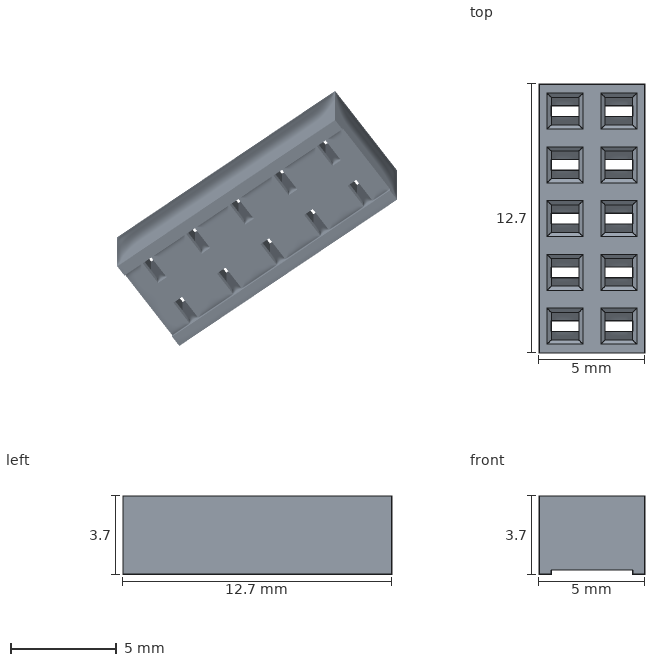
import cadquery as cq

pitch = 2.54
columns = 2
rows = 5
body_width = 5.0
body_length = rows * pitch
total_height = 3.7

cavity_side = 1.3
mouth_flare = 0.2
mouth_side = cavity_side + 2 * mouth_flare
slot_width = 0.5

standoff_height = 0.2
channel_width = (columns - 1) * pitch + cavity_side

floor_thickness = 0.5
floor_height = standoff_height + floor_thickness


def make_body():
    return cq.Workplane("XY").box(
        body_width, body_length, total_height, centered=(True, True, False)
    )


def make_channel():
    return cq.Workplane("XY").box(
        channel_width, body_length, standoff_height, centered=(True, True, False)
    )


def make_cavity():
    """One cavity on the Z axis: slot, square well and flared mouth."""
    slot = cq.Workplane("XY").box(
        cavity_side, slot_width, total_height, centered=(True, True, False)
    )
    well = (
        cq.Workplane("XY")
        .workplane(offset=floor_height)
        .rect(cavity_side, cavity_side)
        .extrude(total_height - floor_height)
    )
    mouth = (
        cq.Workplane("XY")
        .workplane(offset=total_height - mouth_flare)
        .rect(cavity_side, cavity_side)
        .workplane(offset=mouth_flare)
        .rect(mouth_side, mouth_side)
        .loft(ruled=True)
    )
    return slot.union(well).union(mouth)


result = make_body().cut(make_channel())
cavity = make_cavity()
for column in range(columns):
    for row in range(rows):
        x = (column - (columns - 1) / 2) * pitch
        y = (row - (rows - 1) / 2) * pitch
        result = result.cut(cavity.translate((x, y, 0)))